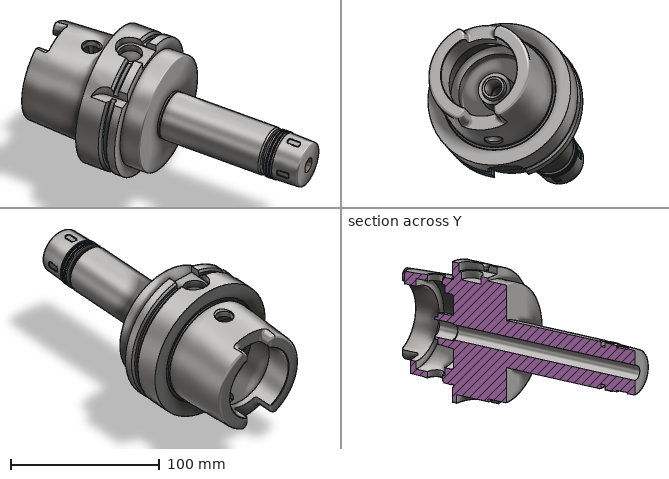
import cadquery as cq

LENGTH = 200.0
TAPER_END = 46.8
FACE_X = 49.5
FLANGE_END = 79.0
COLLAR_END = 94.0
SHANK_START = 96.0
SHANK_END = 172.0
NUT_START = 174.8
NUT_CONE_START = 180.8

FLANGE_R = 50.0
COLLAR_R = 42.0
SHANK_R = 34.0 / 2
SHANK_ROOT_R = 33.5 / 2
NUT_NECK_R = 27.0 / 2
NUT_NOSE_R = 16.0
NUT_CONE_R = 16.5
TAPER_BASE_R = 37.8
TAPER_SLOPE = 0.05
TAPER_MOUTH_R = TAPER_BASE_R - TAPER_SLOPE * TAPER_END
MOUTH_FILLET = 2.0

RELIEF_START = 48.2
RELIEF_R = 37.5
RELIEF_OUTER_R = 39.5
RELIEF_DEPTH = 0.5

GROOVE_START = 68.5
GROOVE_END = 71.8
GROOVE_R = 46.0
GROOVE_LIP_R = 48.2
GROOVE_START_LIP = 1.8
GROOVE_END_LIP = 1.2

COLLAR_FILLET = 0.8
SHANK_CHAMFER_LENGTH = 1.5
SHANK_CHAMFER_DEPTH = 0.5
SHANK_SHOULDER = 0.5
NOSE_FILLET = 1.2

BORE_R = 53.0 / 2
BORE_END = 19.5
BORE_CHAMFER = 0.5
UNDERCUT_R = 32.0
UNDERCUT_END = 43.0
REAR_FILLET = 1.5
CAVITY_END = 50.0

BOSS_BASE_R = 24.0 / 2
BOSS_TOP_R = 11.2
BOSS_START = 37.5
TUBE_BASE_R = 17.0 / 2
TUBE_TIP_R = 15.5 / 2
TUBE_START = 34.5
TUBE_BORE_R = 12.0 / 2
THROUGH_R = 10.5 / 2

SLOT_HALF_WIDTH = 10.0
SLOT_FLARE_R = 5.5
SLOT_FLARE_Z = 27.0
SLOT_FLOOR_FILLET = 2.0
UPPER_SLOT_DEPTH = 9.8
LOWER_SLOT_DEPTH = 14.8

ACCESS_X = 35.0
ACCESS_R = 12.0 / 2
ACCESS_CONE_Z = 36.2

SEAT_X = 64.8
SEAT_FLOOR = 44.0
UPPER_SEAT_WIDTH = 20.0
LOWER_SEAT_WIDTH = 24.0
SEAT_HOLE_R = 16.0 / 2
SEAT_HOLE_DEPTH = 5.5
NOTCH_OFFSET = 31.5
NOTCH_END_R = 20.5 / 2

POCKET_COUNT = 4
POCKET_X = 189.0
POCKET_LENGTH = 9.0
POCKET_WIDTH = 4.5
POCKET_CORNER = 1.5
POCKET_FLOOR = 15.5
NUT_GROOVES = (176.5, 179.0)
NUT_GROOVE_WIDTH = 1.2
NUT_GROOVE_DEPTH = 0.3


def revolve(profile):
    """Turn a closed profile of (x, radius) points about the X axis."""
    return profile.close().revolve(360, (0, 0, 0), (1, 0, 0))


def outer_body():
    profile = (
        cq.Workplane("XY")
        .moveTo(0, 0)
        .lineTo(0, TAPER_MOUTH_R - MOUTH_FILLET)
        .radiusArc((MOUTH_FILLET, TAPER_MOUTH_R + TAPER_SLOPE * MOUTH_FILLET), MOUTH_FILLET)
        .lineTo(TAPER_END, TAPER_BASE_R)
        .lineTo(RELIEF_START, TAPER_BASE_R)
        .lineTo(RELIEF_START, RELIEF_R)
        .lineTo(FACE_X + RELIEF_DEPTH, RELIEF_R)
        .lineTo(FACE_X + RELIEF_DEPTH, RELIEF_OUTER_R - RELIEF_DEPTH)
        .lineTo(FACE_X, RELIEF_OUTER_R)
        .lineTo(FACE_X, FLANGE_R)
        .lineTo(GROOVE_START - GROOVE_START_LIP, FLANGE_R)
        .lineTo(GROOVE_START, GROOVE_LIP_R)
        .lineTo(GROOVE_START, GROOVE_R)
        .lineTo(GROOVE_END, GROOVE_R)
        .lineTo(GROOVE_END, GROOVE_LIP_R)
        .lineTo(GROOVE_END + GROOVE_END_LIP, FLANGE_R)
        .lineTo(FLANGE_END, FLANGE_R)
        .lineTo(FLANGE_END, COLLAR_R)
        .lineTo(COLLAR_END - COLLAR_FILLET, COLLAR_R)
        .radiusArc((COLLAR_END, COLLAR_R - COLLAR_FILLET), COLLAR_FILLET)
        .lineTo(COLLAR_END, SHANK_ROOT_R)
        .lineTo(SHANK_START - SHANK_SHOULDER, SHANK_ROOT_R)
        .lineTo(SHANK_START, SHANK_R)
        .lineTo(SHANK_END - SHANK_CHAMFER_LENGTH, SHANK_R)
        .lineTo(SHANK_END, SHANK_R - SHANK_CHAMFER_DEPTH)
        .lineTo(SHANK_END, NUT_NECK_R)
        .lineTo(NUT_START, NUT_NECK_R)
        .lineTo(NUT_START, SHANK_R)
    )
    for x in NUT_GROOVES:
        profile = (
            profile.lineTo(x - NUT_GROOVE_WIDTH / 2, SHANK_R)
            .lineTo(x, SHANK_R - NUT_GROOVE_DEPTH)
            .lineTo(x + NUT_GROOVE_WIDTH / 2, SHANK_R)
        )
    profile = (
        profile.lineTo(NUT_CONE_START, SHANK_R)
        .lineTo(NUT_CONE_START, NUT_CONE_R)
        .lineTo(LENGTH - NOSE_FILLET, NUT_NOSE_R)
        .radiusArc((LENGTH, NUT_NOSE_R - NOSE_FILLET), NOSE_FILLET)
        .lineTo(LENGTH, 0)
    )
    return revolve(profile)


def cavity():
    """Hollow of the taper, leaving the boss and coolant tube standing on its floor."""
    return revolve(
        cq.Workplane("XY")
        .moveTo(0, 0)
        .lineTo(0, BORE_R + BORE_CHAMFER)
        .lineTo(BORE_CHAMFER, BORE_R)
        .lineTo(BORE_END, BORE_R)
        .lineTo(BORE_END, UNDERCUT_R)
        .lineTo(UNDERCUT_END, UNDERCUT_R)
        .lineTo(UNDERCUT_END, BORE_R)
        .lineTo(CAVITY_END - REAR_FILLET, BORE_R)
        .radiusArc((CAVITY_END, BORE_R - REAR_FILLET), REAR_FILLET)
        .lineTo(CAVITY_END, BOSS_BASE_R)
        .lineTo(BOSS_START, BOSS_TOP_R)
        .lineTo(BOSS_START, TUBE_BASE_R)
        .lineTo(TUBE_START, TUBE_TIP_R)
        .lineTo(TUBE_START, TUBE_BORE_R)
        .lineTo(CAVITY_END, TUBE_BORE_R)
        .lineTo(CAVITY_END, THROUGH_R)
        .lineTo(LENGTH, THROUGH_R)
        .lineTo(LENGTH, 0)
    )


def drive_slot(depth):
    """Cutter for the slot on the +Z side: straight walls flaring outwards at the rim."""
    inner_z = BORE_R / 2
    outer_z = SLOT_FLARE_Z + SLOT_FLARE_R
    flare_y = SLOT_HALF_WIDTH + SLOT_FLARE_R
    clear_z = TAPER_BASE_R + SLOT_FLARE_R
    clear_y = 2 * flare_y
    return (
        cq.Workplane("YZ")
        .moveTo(-SLOT_HALF_WIDTH, inner_z)
        .lineTo(SLOT_HALF_WIDTH, inner_z)
        .lineTo(SLOT_HALF_WIDTH, SLOT_FLARE_Z)
        .radiusArc((flare_y, outer_z), SLOT_FLARE_R)
        .lineTo(clear_y, outer_z)
        .lineTo(clear_y, clear_z)
        .lineTo(-clear_y, clear_z)
        .lineTo(-clear_y, outer_z)
        .lineTo(-flare_y, outer_z)
        .radiusArc((-SLOT_HALF_WIDTH, SLOT_FLARE_Z), SLOT_FLARE_R)
        .close()
        .extrude(depth)
        .faces(">X")
        .edges()
        .fillet(SLOT_FLOOR_FILLET)
    )


def slotted_block():
    """Block round the whole part with both drive slots, its mouth edges rounded."""
    side = 3 * FLANGE_R
    block = cq.Workplane("YZ").rect(side, side).extrude(2 * LENGTH)
    block = block.cut(drive_slot(UPPER_SLOT_DEPTH))
    block = block.cut(upside_down(drive_slot(LOWER_SLOT_DEPTH)))
    return block.faces("<X").edges().fillet(MOUTH_FILLET)


def flange_slot(width, y, floor_z):
    """Cutter of the given width, round at its -X end and open at the +X side of the flange."""
    height = FLANGE_R - floor_z
    length = FLANGE_END - SEAT_X
    plane = cq.Workplane("XY").workplane(offset=floor_z)
    round_end = plane.center(SEAT_X, y).circle(width / 2).extrude(height)
    straight = plane.center(SEAT_X + length / 2, y).rect(length, width).extrude(height)
    return round_end.union(straight)


def upside_down(cutter):
    return cutter.rotate((0, 0, 0), (1, 0, 0), 180)


def access_hole():
    """Cutter for the countersunk hole through the +Z wall of the taper."""
    cone_height = TAPER_BASE_R - ACCESS_CONE_Z
    return (
        cq.Workplane("XZ", origin=(ACCESS_X, 0, 0))
        .moveTo(0, BORE_R)
        .lineTo(ACCESS_R, BORE_R)
        .lineTo(ACCESS_R, ACCESS_CONE_Z)
        .lineTo(ACCESS_R + cone_height, TAPER_BASE_R)
        .lineTo(0, TAPER_BASE_R)
        .close()
        .revolve(360, (0, 0, 0), (0, 1, 0))
    )


def nut_pockets():
    pocket = (
        cq.Workplane("XY")
        .workplane(offset=POCKET_FLOOR)
        .center(POCKET_X, 0)
        .rect(POCKET_LENGTH, POCKET_WIDTH)
        .extrude(SHANK_R - POCKET_FLOOR)
        .edges("|Z")
        .fillet(POCKET_CORNER)
    )
    cutters = cq.Workplane("XY")
    for i in range(POCKET_COUNT):
        cutters = cutters.add(pocket.rotate((0, 0, 0), (1, 0, 0), i * 360 / POCKET_COUNT))
    return cutters.combine()


body = outer_body().intersect(slotted_block()).cut(cavity())

body = body.cut(access_hole()).cut(upside_down(access_hole()))

body = body.cut(flange_slot(UPPER_SEAT_WIDTH, 0, SEAT_FLOOR))
body = body.cut(upside_down(flange_slot(LOWER_SEAT_WIDTH, 0, SEAT_FLOOR)))
seat_hole = (
    cq.Workplane("XY")
    .workplane(offset=SEAT_FLOOR - SEAT_HOLE_DEPTH)
    .center(SEAT_X, 0)
    .circle(SEAT_HOLE_R)
    .extrude(SEAT_HOLE_DEPTH)
)
body = body.cut(seat_hole)

notch_y = -NOTCH_OFFSET - NOTCH_END_R
body = body.cut(flange_slot(2 * NOTCH_END_R, notch_y, NOTCH_OFFSET))

result = body.cut(nut_pockets())